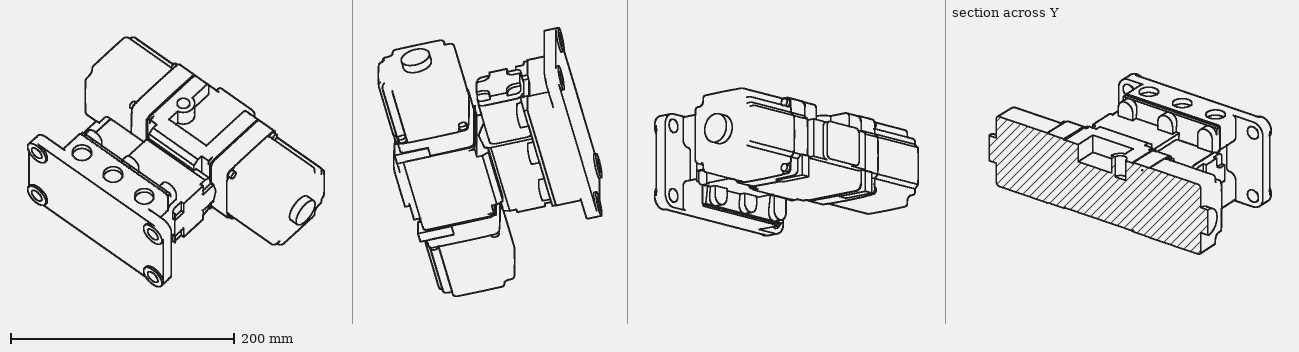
import cadquery as cq
import math


CAP_END_X = 121.5
CAP_RADIUS = 13.0
SOLENOID_END_X = 113.7
SOLENOID_FRONT_Y = -33.4
SOLENOID_BACK_Y = 33.2
SOLENOID_HALF_HEIGHT = 35.6
CROWN_DROP = 0.4
CROWN_FLAT = 1.4
END_FILLET = 4.0
BACK_BULGE_Y = 37.2
BACK_BULGE_HALF_HEIGHT = 17.0
BACK_BULGE_SLOPE = 3.5
NOTCH_ARC = 4.0
NOTCH_EDGE_FILLET = 2.6
GASKET_FRONT_Y = -34.3
GASKET_HALF_HEIGHT = 33.0
SCREW_Y = 28.0
SCREW_Z = 30.0
SCREW_RADIUS = 3.5
SCREW_END_X = 60.3
COVER_OUTER_X = 56.7
COVER_INNER_X = 38.2
COVER_INSET = 0.3
SEAM_WIDTH = 0.7
SEAM_DEPTH = 0.5
PAD_OUTER_X = 47.3
PAD_Y_RANGE = (7.0, 38.0)
PAD_Z_RANGE = (-36.2, -17.0)

BODY_HALF_WIDTH = 34.8
BODY_HALF_DEPTH = 33.0
BODY_HALF_HEIGHT = 34.6
BODY_FILLET = 5.0
POCKET_HALF_WIDTH = 22.3
POCKET_FRONT_Y = -21.4
POCKET_FLOOR_Z = 17.2
BACK_BLOCK_Y = 40.7
CONNECTOR_Y = 45.2
CONNECTOR_HALF_WIDTH = 21.7
CONNECTOR_CORNER = 4.6
BORE_X = -24.3
BORE_Y = 0.5
BORE_RADIUS = 5.7
BORE_DEPTH = 20.0
BORE_BOSS_RADIUS = 10.2

NECK_X = (-26.8, 26.7)
NECK_FRONT_Y = -43.5
NECK_BEVEL_Y = 5.5
NECK_BEVEL_Z = 3.5

VALVE_X = (-27.4, 44.9)
VALVE_HALF_HEIGHT = 25.2
VALVE_NOSE_Y = -34.6
VALVE_KNEE = (-40.2, 22.5)
VALVE_TOP_Y = -46.0
VALVE_NOTCH_DEPTH = 3.0
VALVE_NOTCH_HALF_GAP = 12.0
VALVE_NOTCHES_Y = ((-52.0, -38.0), (-90.0, -78.2))
VALVE_FILLET = 4.8
PILOT_END_X = -77.2
PILOT_PLATE_X = -69.0
PILOT_Y = (-85.4, -45.2)
PILOT_HALF_HEIGHT = 20.1
PILOT_FILLET = 5.0
PILOT_HOUSING_BACK_Y = -44.7
PILOT_HOUSING_HALF_HEIGHT = 20.5
PILOT_HOUSING_FILLET = 6.5
PILOT_NOTCH = 12.1
PILOT_NOTCH_ARC = 7.0
PILOT_NOTCH_DEPTH = 3.2

BASE_X = (-67.7, 36.3)
BASE_FRONT_Y = -90.2
BASE_BACK_Y = -81.0
BASE_EDGE_Y = -86.8
BASE_HALF_HEIGHT = 41.3
BASE_NOTCH_HALF_HEIGHT = 17.2
BASE_NOTCH_DEPTH = 4.0
BASE_MIDDLE_X = (BASE_X[0] + BASE_X[1]) / 2
UPPER_BOSS_SPACING = 44.2
LOWER_BOSS_SPACING = 40.0
BASE_BOSS_RADIUS = 8.1
BASE_BOSS_Z = BASE_HALF_HEIGHT - BASE_BOSS_RADIUS
BASE_BOSS_Y = -79.2

MANIFOLD_X = (-69.0, 37.0)
MANIFOLD_FILLET = 3.0
RECESS_DEPTH = 10.0
RECESS_HALF_WIDTH = 15.2
RECESS_MOUTH_FILLET = 7.0
RECESS_FLOOR_FILLET = 2.9
PORT_XS = (-52.4, -15.5, 21.6)
PORT_Y = -105.4
PORT_RADIUS = 8.7
PORT_DEPTH = 5.3

FLANGE_HALF_HEIGHT = 43.0
FLANGE_BACK_Y = -113.4
FLANGE_FRONT_Y = -124.3
MANIFOLD_MIDDLE_Y = (FLANGE_BACK_Y + BASE_FRONT_Y) / 2
FOOT_Y = -126.3
FOOT_RADIUS = 11.0
FOOT_XS = (-88.0, 50.0)
FOOT_Z = FLANGE_HALF_HEIGHT - FOOT_RADIUS
FOOT_HOLE_RADIUS = 6.0

SELECT_MARGIN = 1.0


def box(x_range, y_range, z_range):
    """Axis-aligned box between the given limits."""
    limits = (x_range, y_range, z_range)
    size = [end - start for start, end in limits]
    corner = [start for start, end in limits]
    return cq.Workplane("XY").box(*size, centered=False).translate(corner)


def cylinder_y(x, z, radius, y_range):
    """Cylinder along Y between the given limits."""
    plane = cq.Workplane("XZ", origin=(x, y_range[1], z))
    return plane.circle(radius).extrude(y_range[1] - y_range[0])


def mirror_z(shape):
    """The shape together with its reflection below Z = 0."""
    return shape.union(shape.mirror("XY"))


def plane_x(x):
    """Workplane at X = x whose local axes are Y and Z."""
    return cq.Workplane("YZ", origin=(x, 0, 0))


def rounded_bar(x_range, y_range, half_height, fillet):
    """Box along X with its four long edges rounded."""
    return box(x_range, y_range, (-half_height, half_height)).edges("|X").fillet(fillet)


def fillet_nearest(shape, point, radius):
    """Round the edge along Y that lies nearest to the point."""
    edge = shape.edges("|Y").edges(cq.selectors.NearestToPointSelector(point))
    return edge.fillet(radius)


def corner_notch(side_y, reach):
    """Lengthwise corner cut around one solenoid screw, in the upper half."""
    length = SOLENOID_END_X - COVER_OUTER_X
    inner_y = SCREW_Y - NOTCH_ARC
    inner_z = SCREW_Z - NOTCH_ARC
    offset = NOTCH_ARC * math.sqrt(0.5)
    outer = SCREW_Y + reach
    return (
        plane_x(COVER_OUTER_X)
        .moveTo(side_y * outer, inner_z)
        .lineTo(side_y * SCREW_Y, inner_z)
        .threePointArc(
            (side_y * (SCREW_Y - offset), SCREW_Z - offset),
            (side_y * inner_y, SCREW_Z),
        )
        .lineTo(side_y * inner_y, SCREW_Z + reach)
        .lineTo(side_y * outer, SCREW_Z + reach)
        .close()
        .extrude(length)
    )


def crowned_bar(x_range, inset=0):
    """Bar along X with crowned faces that are flat along their middle."""
    front_y = SOLENOID_FRONT_Y + inset
    back_y = SOLENOID_BACK_Y - inset
    bulge_y = BACK_BULGE_Y - inset
    top_z = SOLENOID_HALF_HEIGHT - inset
    shoulder_z = top_z - CROWN_DROP
    upper = [
        (front_y, CROWN_FLAT),
        (front_y + CROWN_DROP, shoulder_z),
        (-CROWN_FLAT, top_z),
        (CROWN_FLAT, top_z),
        (back_y, shoulder_z),
        (back_y, BACK_BULGE_HALF_HEIGHT + BACK_BULGE_SLOPE),
        (bulge_y - CROWN_DROP, BACK_BULGE_HALF_HEIGHT),
        (bulge_y, CROWN_FLAT),
    ]
    lower = [(y, -z) for y, z in reversed(upper)]
    section = plane_x(x_range[0]).polyline(upper + lower).close()
    return section.extrude(x_range[1] - x_range[0])


def rounded_crowned_bar(x_range, inset):
    """Crowned bar with its four corner edges rounded."""
    bar = crowned_bar(x_range, inset)
    reach = FLANGE_HALF_HEIGHT
    for side_y in (-1, 1):
        for side_z in (-1, 1):
            near = (x_range[0], side_y * SCREW_Y, side_z * SCREW_Z)
            far = (x_range[1], side_y * reach, side_z * reach)
            bar = bar.edges("|X").edges(cq.selectors.BoxSelector(near, far)).fillet(BODY_FILLET)
    return bar


def notch_mouth_selector():
    """Selector for the long edges where the corner notches meet the outer faces."""
    inner_y = SCREW_Y - NOTCH_ARC
    inner_z = SCREW_Z - NOTCH_ARC
    x_limits = (COVER_OUTER_X, SOLENOID_END_X)
    selector = None
    for side_y in (-1, 1):
        for side_z in (-1, 1):
            for y, z in ((inner_y, SOLENOID_HALF_HEIGHT), (SOLENOID_BACK_Y, inner_z)):
                near = (x_limits[0], side_y * y - SELECT_MARGIN, side_z * z - SELECT_MARGIN)
                far = (x_limits[1], side_y * y + SELECT_MARGIN, side_z * z + SELECT_MARGIN)
                one = cq.selectors.BoxSelector(near, far)
                selector = one if selector is None else selector + one
    return selector


def make_solenoid():
    """Solenoid on the +X side with its cap, cover, screws, gasket and pad."""
    coil = crowned_bar((COVER_OUTER_X, SOLENOID_END_X))
    reach = FLANGE_HALF_HEIGHT
    for side_y in (-1, 1):
        coil = coil.cut(mirror_z(corner_notch(side_y, reach)))
    coil = coil.edges(notch_mouth_selector()).fillet(NOTCH_EDGE_FILLET)
    coil = coil.faces(">X").edges().fillet(END_FILLET)

    cap = plane_x(COVER_OUTER_X).circle(CAP_RADIUS).extrude(CAP_END_X - COVER_OUTER_X)
    cover = rounded_crowned_bar((COVER_INNER_X, COVER_OUTER_X), COVER_INSET)
    lip_x = (BODY_HALF_WIDTH, COVER_INNER_X)
    lip_y = (-BODY_HALF_DEPTH, BODY_HALF_DEPTH)
    lip = rounded_bar(lip_x, lip_y, BODY_HALF_HEIGHT - SEAM_DEPTH, BODY_FILLET)
    cover = cover.union(lip)
    screw_points = [(y, z) for y in (-SCREW_Y, SCREW_Y) for z in (-SCREW_Z, SCREW_Z)]
    screws = (
        plane_x(BODY_HALF_WIDTH)
        .pushPoints(screw_points)
        .circle(SCREW_RADIUS)
        .extrude(SCREW_END_X - BODY_HALF_WIDTH)
    )
    gasket = box(
        (COVER_INNER_X - SEAM_WIDTH, COVER_INNER_X),
        (GASKET_FRONT_Y, -SCREW_Y),
        (-GASKET_HALF_HEIGHT, GASKET_HALF_HEIGHT),
    )
    pad = box((COVER_INNER_X, PAD_OUTER_X), PAD_Y_RANGE, PAD_Z_RANGE)
    return coil.union(cap).union(cover).union(screws).union(pad).union(gasket)


def make_body():
    """Central body with the connector at the back and the pocket on top."""
    width = (-BODY_HALF_WIDTH, BODY_HALF_WIDTH)
    shoulder_x = COVER_INNER_X - SEAM_WIDTH
    depth = (-BODY_HALF_DEPTH, BODY_HALF_DEPTH)
    body = rounded_bar((-shoulder_x, shoulder_x), depth, BODY_HALF_HEIGHT, BODY_FILLET)
    front = box(width, (-BODY_HALF_DEPTH, 0), (-BODY_HALF_HEIGHT, BODY_HALF_HEIGHT))
    body = body.union(front)
    block = box(width, (0, BACK_BLOCK_Y), (-POCKET_FLOOR_Z, POCKET_FLOOR_Z))
    connector = box(
        (-CONNECTOR_HALF_WIDTH, CONNECTOR_HALF_WIDTH),
        (0, CONNECTOR_Y),
        (-POCKET_FLOOR_Z, POCKET_FLOOR_Z),
    )
    connector = connector.edges("|Y").fillet(CONNECTOR_CORNER)
    pocket = box(
        (-POCKET_HALF_WIDTH, POCKET_HALF_WIDTH),
        (POCKET_FRONT_Y, CONNECTOR_Y),
        (POCKET_FLOOR_Z, FLANGE_HALF_HEIGHT),
    )
    bore_plane = cq.Workplane("XY", origin=(BORE_X, BORE_Y, BODY_HALF_HEIGHT))
    boss = bore_plane.circle(BORE_BOSS_RADIUS).extrude(POCKET_FLOOR_Z - BODY_HALF_HEIGHT)
    bore = bore_plane.circle(BORE_RADIUS).extrude(-BORE_DEPTH)
    return body.union(block).cut(pocket).union(connector).union(boss).cut(bore)


def make_neck():
    """Beveled block in front of the central body."""
    upper = [
        (POCKET_FRONT_Y, BODY_HALF_HEIGHT),
        (NECK_FRONT_Y + NECK_BEVEL_Y, BODY_HALF_HEIGHT),
        (NECK_FRONT_Y, BODY_HALF_HEIGHT - NECK_BEVEL_Z),
    ]
    lower = [(y, -z) for y, z in reversed(upper)]
    neck = plane_x(NECK_X[0]).polyline(upper + lower).close()
    return neck.extrude(NECK_X[1] - NECK_X[0])


def make_valve():
    """Main valve: a wedge-nosed bar with notched end corners."""
    upper = [
        VALVE_KNEE,
        (VALVE_TOP_Y, VALVE_HALF_HEIGHT),
        (BASE_FRONT_Y, VALVE_HALF_HEIGHT),
    ]
    lower = [(y, -z) for y, z in reversed(upper)]
    outline = [(VALVE_NOSE_Y, 0)] + upper + lower
    valve = plane_x(VALVE_X[0]).polyline(outline).close()
    valve = valve.extrude(VALVE_X[1] - VALVE_X[0])
    front_edges = cq.selectors.BoxSelector(
        (VALVE_X[0], BASE_FRONT_Y - SELECT_MARGIN, -FLANGE_HALF_HEIGHT),
        (VALVE_X[1], BASE_FRONT_Y + SELECT_MARGIN, FLANGE_HALF_HEIGHT),
    )
    valve = valve.edges("|X").edges(front_edges).fillet(VALVE_FILLET)
    notch_x = (VALVE_X[1] - VALVE_NOTCH_DEPTH, VALVE_X[1])
    for notch_y in VALVE_NOTCHES_Y:
        notch = box(notch_x, notch_y, (VALVE_NOTCH_HALF_GAP, VALVE_HALF_HEIGHT))
        valve = valve.cut(mirror_z(notch))
    return valve


def make_pilot():
    """Square pilot housing on the -X side with a notched end plate."""
    plate = rounded_bar((PILOT_END_X, PILOT_PLATE_X), PILOT_Y, PILOT_HALF_HEIGHT, PILOT_FILLET)
    notch_x = (PILOT_END_X, PILOT_END_X + PILOT_NOTCH_DEPTH)
    notch_z = (PILOT_HALF_HEIGHT - PILOT_NOTCH, PILOT_HALF_HEIGHT)
    front_notch = box(notch_x, (PILOT_Y[0], PILOT_Y[0] + PILOT_NOTCH), notch_z)
    front_notch = front_notch.edges("|X and >Y and <Z").fillet(PILOT_NOTCH_ARC)
    back_notch = box(notch_x, (PILOT_Y[1] - PILOT_NOTCH, PILOT_Y[1]), notch_z)
    back_notch = back_notch.edges("|X and <Y and <Z").fillet(PILOT_NOTCH_ARC)
    plate = plate.cut(mirror_z(front_notch)).cut(mirror_z(back_notch))
    housing = rounded_bar(
        (PILOT_PLATE_X, VALVE_X[0]),
        (PILOT_Y[0], PILOT_HOUSING_BACK_Y),
        PILOT_HOUSING_HALF_HEIGHT,
        PILOT_HOUSING_FILLET,
    )
    return plate.union(housing)


def make_base():
    """Sloped base plate of the valve with its row of screw bosses on each long side."""
    outline = [
        (BASE_FRONT_Y, BASE_HALF_HEIGHT),
        (BASE_EDGE_Y, BASE_HALF_HEIGHT),
        (BASE_BACK_Y, 0),
        (BASE_EDGE_Y, -BASE_HALF_HEIGHT),
        (BASE_FRONT_Y, -BASE_HALF_HEIGHT),
    ]
    base = plane_x(BASE_X[0]).polyline(outline).close().extrude(BASE_X[1] - BASE_X[0])
    base = base.cut(
        box(
            (BASE_X[0], BASE_X[0] + BASE_NOTCH_DEPTH),
            (BASE_FRONT_Y, BASE_BACK_Y),
            (-BASE_NOTCH_HALF_HEIGHT, BASE_NOTCH_HALF_HEIGHT),
        )
    )
    boss_y = (BASE_FRONT_Y, BASE_BOSS_Y)
    for side_z, spacing in ((1, UPPER_BOSS_SPACING), (-1, LOWER_BOSS_SPACING)):
        root_z = sorted((side_z * BASE_NOTCH_HALF_HEIGHT, side_z * BASE_BOSS_Z))
        for step in (-1, 0, 1):
            x = BASE_MIDDLE_X + step * spacing
            root = box((x - BASE_BOSS_RADIUS, x + BASE_BOSS_RADIUS), boss_y, root_z)
            tip = cylinder_y(x, side_z * BASE_BOSS_Z, BASE_BOSS_RADIUS, boss_y)
            base = base.union(root).union(tip)
    return base


def make_mount():
    """Flange and manifold block in one, with rounded corners."""
    flange_x = (FOOT_XS[0] - FOOT_RADIUS, FOOT_XS[1] + FOOT_RADIUS)
    outline = [
        (flange_x[0], FLANGE_FRONT_Y),
        (flange_x[1], FLANGE_FRONT_Y),
        (flange_x[1], FLANGE_BACK_Y),
        (MANIFOLD_X[1], FLANGE_BACK_Y),
        (MANIFOLD_X[1], BASE_FRONT_Y),
        (MANIFOLD_X[0], BASE_FRONT_Y),
        (MANIFOLD_X[0], FLANGE_BACK_Y),
        (flange_x[0], FLANGE_BACK_Y),
    ]
    mount = cq.Workplane("XY", origin=(0, 0, -FLANGE_HALF_HEIGHT)).polyline(outline).close()
    mount = mount.extrude(2 * FLANGE_HALF_HEIGHT)
    flange_y = (FLANGE_FRONT_Y + FLANGE_BACK_Y) / 2
    for z in (-FLANGE_HALF_HEIGHT, FLANGE_HALF_HEIGHT):
        for x in flange_x:
            mount = fillet_nearest(mount, (x, flange_y, z), FOOT_RADIUS)
        for x in MANIFOLD_X:
            mount = fillet_nearest(mount, (x, MANIFOLD_MIDDLE_Y, z), MANIFOLD_FILLET)
    return mount


def add_end_recesses(mount):
    """Cut a smooth-edged recess along each end of the manifold block."""
    depth = (FLANGE_BACK_Y, BASE_FRONT_Y)
    half_width = RECESS_HALF_WIDTH
    for end_x, inward in ((MANIFOLD_X[0], 1), (MANIFOLD_X[1], -1)):
        floor_x = end_x + inward * RECESS_DEPTH
        mount = mount.cut(box(sorted((end_x, floor_x)), depth, (-half_width, half_width)))
        for x, radius in ((floor_x, RECESS_FLOOR_FILLET), (end_x, RECESS_MOUTH_FILLET)):
            for z in (-half_width, half_width):
                mount = fillet_nearest(mount, (x, MANIFOLD_MIDDLE_Y, z), radius)
    return mount


def make_ports():
    """Row of blind port holes in the top of the manifold."""
    return (
        cq.Workplane("XY", origin=(0, 0, FLANGE_HALF_HEIGHT))
        .pushPoints([(x, PORT_Y) for x in PORT_XS])
        .circle(PORT_RADIUS)
        .extrude(-PORT_DEPTH)
    )


def add_feet(mount):
    """Raised foot and through hole at each corner of the flange."""
    corners = [(x, z) for x in FOOT_XS for z in (-FOOT_Z, FOOT_Z)]
    for x, z in corners:
        foot = cylinder_y(x, z, FOOT_RADIUS, (FOOT_Y, FLANGE_FRONT_Y))
        hole = cylinder_y(x, z, FOOT_HOLE_RADIUS, (FOOT_Y, FLANGE_BACK_Y))
        mount = mount.union(foot).cut(hole)
    return mount


mount = add_feet(add_end_recesses(make_mount())).cut(make_ports())
solenoid = make_solenoid()
result = (
    make_body()
    .union(solenoid)
    .union(solenoid.mirror("YZ"))
    .union(make_neck())
    .union(make_valve())
    .union(make_pilot())
    .union(make_base())
    .union(mount)
)